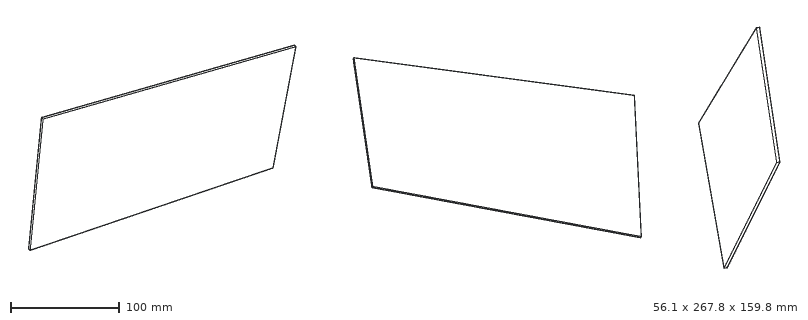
import cadquery as cq
import math

thickness = 3.2
turn_angle = 5.4
lean_angle = 9.9

near_bottom = (0, 0)
far_bottom = (257, 35.0)
far_top = (268.8, 161.7)
near_top = (-0.3, 139.7)

turn = math.radians(turn_angle)
lean = math.radians(lean_angle)
along_plate = cq.Vector(math.sin(turn), math.cos(turn), 0)
face_normal = cq.Vector(
    math.cos(lean) * math.cos(turn),
    -math.cos(lean) * math.sin(turn),
    -math.sin(lean),
)

plate_plane = cq.Plane(origin=(0, 0, 0), xDir=along_plate, normal=face_normal)
plate = (
    cq.Workplane(plate_plane)
    .polyline([near_bottom, far_bottom, far_top, near_top])
    .close()
    .extrude(thickness)
)

result = plate.translate(-plate.val().BoundingBox().center)